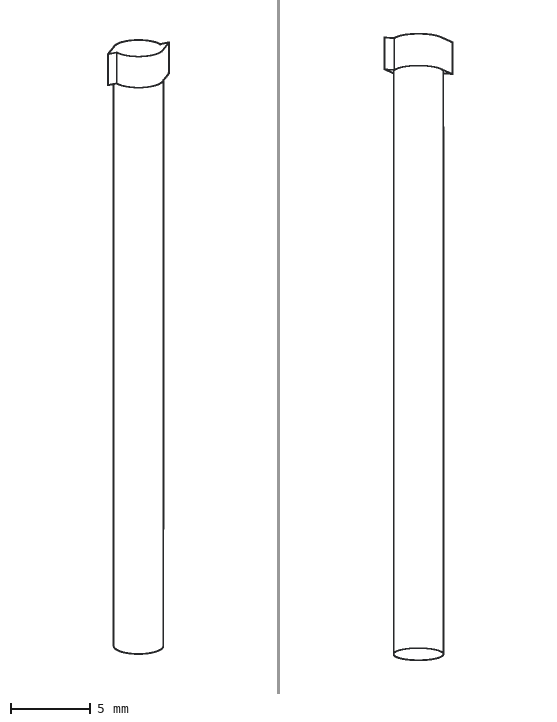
import cadquery as cq
import math

length = 40.1
shaft_diameter = 3.15
head_height = 2.1
head_span = 4.5
facet_count = 16

shaft_radius = shaft_diameter / 2
tip_radius = head_span / 2


def flank_points(start_angle):
    """Tooth tip, then the faceted flank up to the tangent ramp of the next tooth."""
    ramp_angle = math.acos(shaft_radius / tip_radius)
    facet_angle = (math.pi - ramp_angle) / facet_count
    points = [(tip_radius * math.cos(start_angle), tip_radius * math.sin(start_angle))]
    for index in range(facet_count + 1):
        angle = start_angle + index * facet_angle
        points.append((shaft_radius * math.cos(angle), shaft_radius * math.sin(angle)))
    return points


shaft = cq.Workplane("XY").circle(shaft_radius).extrude(length - head_height)

head_outline = flank_points(math.pi / 2) + flank_points(3 * math.pi / 2)
head = (
    cq.Workplane("XY")
    .workplane(offset=length - head_height)
    .polyline(head_outline)
    .close()
    .extrude(head_height)
)

result = shaft.union(head, clean=False)